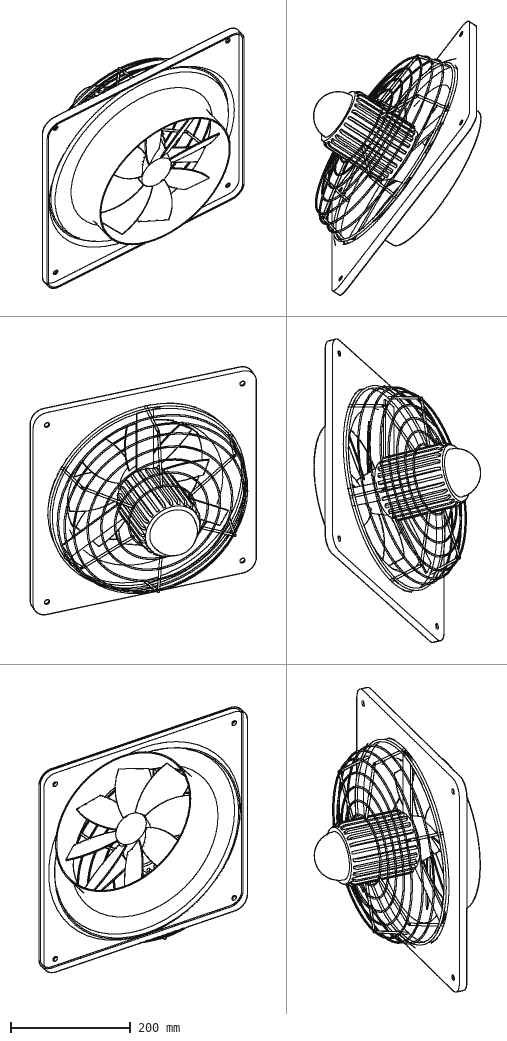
import cadquery as cq
import math

AXIS_START = (0, 0, 0)
AXIS_END = (1, 0, 0)

plate_side = 400.0
plate_depth = 14.0
corner_radius = 25.0
sheet = 3.0
plate_joint_radius = 196.0
hole_diameter = 9.0
hole_spacing = plate_side - 2 * corner_radius

bead_height = 9.0
bead_outer_foot_radius = 191.0
bead_outer_top_radius = 183.0
bead_inner_top_radius = 177.5
bead_inner_foot_radius = 173.5
bead_foot_rounding = 3.0
bead_outer_rounding = 6.5
bead_inner_rounding = 2.0

bell_radius = 142.5
bell_rounding = 5.5
duct_start_x = 28.5
duct_end_x = 71.0
duct_outer_radius = 132.5
duct_wall = 2.0
duct_inner_radius = duct_outer_radius - duct_wall

motor_front_x = -127.5
motor_rear_x = 0.0
motor_radius = 49.0
root_radius = motor_radius - 4.0
dome_radius = 41.0
fin_count = 24
fin_front_x = -124.0
fin_rear_x = -9.0
fin_width = 4.5
fin_outer_radius = 54.5
fin_rounding = 9.0
hub_front_radius = 44.0
hub_rear_x = 46.0
hub_rear_radius = 30.0

strut_angles = (90, 210, 330)
strut_width = 30.0
strut_front_x = -2.5
strut_thickness = 3.0
strut_end_radius = 163.0

blade_count = 8
blade_center_x = 37.0
blade_pitch = 30.0
blade_thickness = 2.0
blade_root_radius = 28.0
blade_middle_radius = 86.0
blade_tip_radius = 125.0
blade_root_width = 31.5
blade_middle_width = 54.0
blade_tip_width = 44.0

spoke_count = 6
spoke_diameter = 4.0
spoke_inner_x = -77.0
spoke_inner_radius = 57.5
spoke_bend_x = -62.5
spoke_bend_radius = 158.0
spoke_foot_x = 1.0
spoke_foot_radius = 175.0
ring_wire_diameter = 2.5
ring_offset = 2.5
front_ring_count = 5
front_ring_first_radius = 60.0
front_ring_pitch = 23.0
side_ring_count = 3
side_ring_first_x = -50.5
side_ring_pitch = 18.5
rim_ring_wire_diameter = 4.0

edge_reach = 0.2


def line_value(start, end, position):
    """Height at `position` of the straight line through two (position, height) points."""
    slope = (end[1] - start[1]) / (end[0] - start[0])
    return start[1] + slope * (position - start[0])


def around_axis(shape, count):
    """Copies of a shape spread evenly around the fan axis."""
    step = 360 / count
    return [shape.rotate(AXIS_START, AXIS_END, i * step) for i in range(count)]


def revolve_about_x(profile):
    return profile.close().revolve(360, AXIS_START, AXIS_END)


def x_cylinder(radius, start_x, end_x):
    return cq.Workplane("YZ", origin=(start_x, 0, 0)).circle(radius).extrude(end_x - start_x)


def make_pan():
    pan = cq.Workplane("YZ").rect(plate_side, plate_side).extrude(plate_depth)
    pan = pan.edges("|X").fillet(corner_radius)
    pan = pan.faces(">X").shell(-sheet)
    holes = (
        cq.Workplane("YZ")
        .rect(hole_spacing, hole_spacing, forConstruction=True)
        .vertices()
        .circle(hole_diameter / 2)
        .extrude(plate_depth)
    )
    face_opening = x_cylinder(plate_joint_radius, 0, plate_depth)
    return pan.cut(holes).cut(face_opening)


def tangent_arc_radius(length, rise):
    """Radius of an arc that leaves a line along it and is `rise` away from it after `length`."""
    return (length**2 + rise**2) / (2 * rise)


def round_front_edge(body, x, radius, rounding):
    """Round the circular edge of the given radius that lies at x."""
    low = (x - edge_reach, -radius - edge_reach, -radius - edge_reach)
    high = (x + edge_reach, radius + edge_reach, radius + edge_reach)
    edges = body.edges(cq.selectors.BoxSelector(low, high, boundingbox=True)).edges(
        cq.selectors.RadiusNthSelector(-1)
    )
    return edges.fillet(rounding)


def make_face_and_duct():
    """Sheet section from the plate over the raised ring, through the bell mouth to the duct end."""
    back_bell_radius = bell_radius + sheet / 2
    front_arc = tangent_arc_radius(duct_start_x, bell_radius - duct_inner_radius)
    back_arc = tangent_arc_radius(duct_start_x - sheet, back_bell_radius - duct_outer_radius)
    profile = (
        cq.Workplane("XY")
        .moveTo(0, plate_joint_radius)
        .lineTo(0, bead_outer_foot_radius)
        .lineTo(-bead_height, bead_outer_top_radius)
        .lineTo(-bead_height, bead_inner_top_radius)
        .lineTo(0, bead_inner_foot_radius)
        .lineTo(0, bell_radius)
        .radiusArc((duct_start_x, duct_inner_radius), -front_arc)
        .lineTo(duct_end_x, duct_inner_radius)
        .lineTo(duct_end_x, duct_outer_radius)
        .lineTo(duct_start_x, duct_outer_radius)
        .radiusArc((sheet, back_bell_radius), back_arc)
        .lineTo(sheet, bead_inner_foot_radius + sheet)
        .lineTo(sheet - bead_height, bead_inner_top_radius + sheet / 2)
        .lineTo(sheet - bead_height, bead_outer_top_radius - sheet / 2)
        .lineTo(sheet, bead_outer_foot_radius - sheet)
        .lineTo(sheet, plate_joint_radius)
    )
    body = revolve_about_x(profile)
    body = round_front_edge(body, 0, bead_outer_foot_radius, bead_foot_rounding)
    body = round_front_edge(body, -bead_height, bead_outer_top_radius, bead_outer_rounding)
    body = round_front_edge(body, -bead_height, bead_inner_top_radius, bead_inner_rounding)
    return round_front_edge(body, 0, bell_radius, bell_rounding)


def make_motor():
    diagonal = dome_radius * math.sqrt(0.5)
    profile = (
        cq.Workplane("XY")
        .moveTo(motor_front_x - dome_radius, 0)
        .threePointArc((motor_front_x - diagonal, diagonal), (motor_front_x, dome_radius))
        .lineTo(motor_front_x, motor_radius)
        .lineTo(motor_rear_x, motor_radius)
        .lineTo(motor_rear_x, hub_front_radius)
        .lineTo(hub_rear_x, hub_rear_radius)
        .lineTo(hub_rear_x, 0)
    )
    return revolve_about_x(profile)


def make_fins():
    fin = (
        cq.Workplane("XZ")
        .moveTo(fin_front_x, root_radius)
        .lineTo(fin_front_x, fin_outer_radius - fin_rounding)
        .radiusArc((fin_front_x + fin_rounding, fin_outer_radius), fin_rounding)
        .lineTo(fin_rear_x, fin_outer_radius)
        .lineTo(fin_rear_x, root_radius)
        .close()
        .extrude(fin_width / 2, both=True)
    )
    return around_axis(fin, fin_count)


def make_struts():
    length = strut_end_radius - root_radius
    strut = cq.Workplane("XY").box(
        strut_thickness, strut_width, length, centered=(False, True, False)
    )
    strut = strut.translate((strut_front_x, 0, root_radius))
    return [strut.rotate(AXIS_START, AXIS_END, angle - 90) for angle in strut_angles]


def make_blades():
    """Flat blades, set across the air flow by the pitch angle."""
    cos_pitch = math.cos(math.radians(blade_pitch))
    sin_pitch = math.sin(math.radians(blade_pitch))
    root = blade_root_width / 2 / cos_pitch
    middle = blade_middle_width / 2 / cos_pitch
    tip = blade_tip_width / 2 / cos_pitch
    plane = cq.Plane((blade_center_x, 0, 0), (sin_pitch, -cos_pitch, 0), (-cos_pitch, -sin_pitch, 0))
    blade = (
        cq.Workplane(plane)
        .moveTo(-root, blade_root_radius)
        .threePointArc((-middle, blade_middle_radius), (-tip, blade_tip_radius))
        .lineTo(tip, blade_tip_radius)
        .threePointArc((middle, blade_middle_radius), (root, blade_root_radius))
        .close()
        .extrude(blade_thickness / 2, both=True)
    )
    return around_axis(blade, blade_count)


def make_spokes():
    start = (spoke_inner_x, spoke_inner_radius)
    bend = (spoke_bend_x, spoke_bend_radius)
    path = cq.Workplane("XZ").moveTo(*start).lineTo(*bend).lineTo(spoke_foot_x, spoke_foot_radius)
    direction = (bend[0] - start[0], 0, bend[1] - start[1])
    section = cq.Plane((start[0], 0, start[1]), (0, 1, 0), direction)
    spoke = cq.Workplane(section).circle(spoke_diameter / 2).sweep(path, transition="round")
    return around_axis(spoke, spoke_count)


def wire_ring(x, radius, wire_diameter):
    torus = cq.Solid.makeTorus(radius, wire_diameter / 2, cq.Vector(x, 0, 0), cq.Vector(1, 0, 0))
    return cq.Workplane(torus)


def make_rings():
    rings = []
    for i in range(front_ring_count):
        radius = front_ring_first_radius + i * front_ring_pitch
        spoke_x = line_value(
            (spoke_inner_radius, spoke_inner_x), (spoke_bend_radius, spoke_bend_x), radius
        )
        rings.append(wire_ring(spoke_x - ring_offset, radius, ring_wire_diameter))
    for i in range(side_ring_count):
        x = side_ring_first_x + i * side_ring_pitch
        spoke_radius = line_value(
            (spoke_bend_x, spoke_bend_radius), (spoke_foot_x, spoke_foot_radius), x
        )
        is_rim = i == side_ring_count - 1
        wire = rim_ring_wire_diameter if is_rim else ring_wire_diameter
        rings.append(wire_ring(x, spoke_radius + ring_offset, wire))
    return rings


body = make_pan().union(make_face_and_duct()).union(make_motor())
attached = make_fins() + make_struts() + make_blades() + make_spokes() + make_rings()
result = cq.Workplane(body.val().fuse(*[piece.val() for piece in attached])).solids()